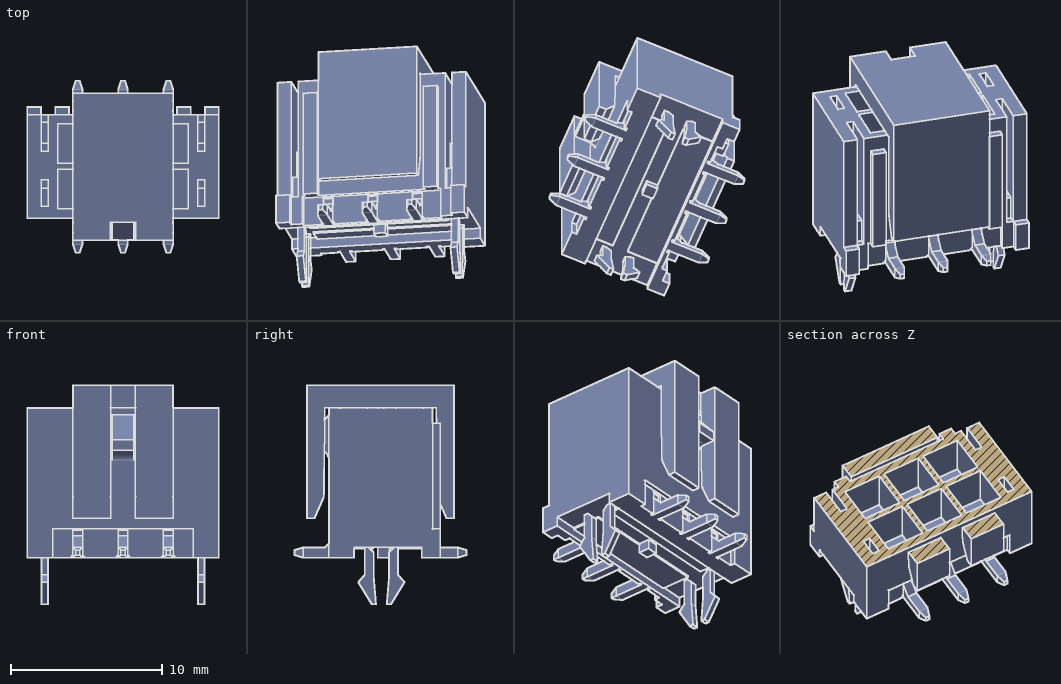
import cadquery as cq

total_height = 14.5
seat_z = 3.07
underside_z = 3.77
housing_top_z = 13.0
recess_top_z = 4.99

housing_width = 12.7
housing_front_y = -3.42
housing_back_y = 3.45
underside_front_y = -1.74
underside_back_y = 2.73
rib_back_y = 3.96

pitch = 3.0
contact_columns = (-pitch, 0, pitch)
contact_row_center_y = 0.03
cavity_size = 2.61
cavity_floor_z = 5.51

recess_width = 9.31
recess_wall_y = 3.07
bend_slot_depth = 0.15
bend_slot_top_z = 4.9
flare_height = 0.2
flare_side = 0.16

pin_width = 0.65
pin_end_y = 5.7
pin_taper_length = 0.58
pin_tip_width = 0.28
pin_tip_height = 0.33
pin_bend_y = 3.68
pin_root_y = 2.75

clip_thickness = 0.45
clip_x = 5.18
clip_y = 0.06
clip_root_z = 4.35

cap_width = 6.64
cap_half_depth = 4.87
cap_inner_half_depth = 3.68
cap_leg_bottom_z = 5.68
leg_taper_z = 7.1
leg_taper_y = 3.74
leg_tip_y = 4.36
cap_notch_width = 1.65

latch_width = 1.45
latch_front_y = -4.86
latch_top_z = 12.53
latch_edge_z = 10.89
latch_bottom_z = 10.21
latch_fillet = 0.65
latch_embed = 0.15


def block(x_range, y_range, z_range):
    """Axis-aligned box given by its limits."""
    x0, x1 = x_range
    y0, y1 = y_range
    z0, z1 = z_range
    return cq.Workplane("XY").box(x1 - x0, y1 - y0, z1 - z0, centered=False).translate((x0, y0, z0))


def side_prism(outline, width):
    """Prism along X, centred on X = 0, from an open outline on the YZ plane that is closed here."""
    return outline.close().extrude(width / 2, both=True)


def across(width, center=0):
    """Limits, along one axis, of a feature of the given width."""
    return (center - width / 2, center + width / 2)


def make_shell():
    """Housing block with its feet, keying ribs, underside channel and recesses."""
    foot_width = 0.93
    rib_inner_x = 3.57
    rib_outer_x = 4.5
    rib_top_z = 11.99

    shell = block(across(housing_width), (housing_front_y, housing_back_y), (seat_z, housing_top_z))
    for side in (-1, 1):
        foot_x = side * (housing_width - foot_width) / 2
        rib_x = side * (rib_inner_x + rib_outer_x) / 2
        foot = block(across(foot_width, foot_x), (housing_back_y, rib_back_y), (seat_z, recess_top_z))
        rib = block(
            across(rib_outer_x - rib_inner_x, rib_x), (housing_back_y, rib_back_y), (recess_top_z, rib_top_z)
        )
        shell = shell.union(foot).union(rib)

    channel = block(across(housing_width), (underside_front_y, underside_back_y), (seat_z, underside_z))
    front_recess = block(across(recess_width), (housing_front_y, -recess_wall_y), (seat_z, recess_top_z))
    back_recess = block(across(recess_width), (recess_wall_y, housing_back_y), (seat_z, recess_top_z))
    return shell.cut(channel).cut(front_recess).cut(back_recess)


def make_underside_pads():
    """Thin pads and the locating block inside the underside channel."""
    pad_height = 0.1
    gap_front_y = -0.46
    gap_back_y = 0.6
    locator_size = 0.78

    pad_z = (underside_z - pad_height, underside_z)
    pads = block(across(recess_width), (underside_front_y, gap_front_y), pad_z)
    pads = pads.union(block(across(recess_width), (gap_back_y, underside_back_y), pad_z))
    locator_y = (gap_back_y - locator_size, gap_back_y)
    return pads.union(block(across(locator_size), locator_y, (seat_z, underside_z)))


def make_cavities():
    """Square contact cavities, open at the top."""
    cavities = cq.Workplane("XY")
    for x in contact_columns:
        for side in (-1, 1):
            y = contact_row_center_y + side * pitch / 2
            cavities = cavities.union(
                block(across(cavity_size, x), across(cavity_size, y), (cavity_floor_z, housing_top_z))
            )
    return cavities


def make_clip_slots():
    """Stepped vertical slots above the clips; the back slots open through the back face."""
    shoulder_floor_z = 8.7
    slot_floor_z = 6.52
    steps = (
        ((-2.62, -1.42), slot_floor_z),
        ((-1.42, -0.87), shoulder_floor_z),
        ((1.03, 1.55), shoulder_floor_z),
        ((1.55, 2.95), slot_floor_z),
        ((2.95, housing_back_y), recess_top_z),
    )
    slots = cq.Workplane("XY")
    for x in (-clip_x, clip_x):
        for y_range, floor_z in steps:
            slots = slots.union(block(across(clip_thickness, x), y_range, (floor_z, housing_top_z)))
    return slots


def make_front_bend_slot():
    """Slot in the front recess wall for a pin bend, flared where it meets the seat plane."""
    half = pin_width / 2
    flared_half = half + flare_side
    return (
        cq.Workplane("XZ")
        .moveTo(-flared_half, seat_z)
        .lineTo(-half, seat_z + flare_height)
        .lineTo(-half, bend_slot_top_z)
        .lineTo(half, bend_slot_top_z)
        .lineTo(half, seat_z + flare_height)
        .lineTo(flared_half, seat_z)
        .close()
        .extrude(bend_slot_depth)
        .translate((0, -recess_wall_y + bend_slot_depth, 0))
    )


def make_front_pin():
    """Front pin tail: sloped bend, flat tail and a tapered tip."""
    pin_height = underside_z - seat_z
    taper_y = pin_end_y - pin_taper_length
    slot_floor_y = recess_wall_y - bend_slot_depth
    bend_top_z = underside_z + pin_bend_y - slot_floor_y

    tail = side_prism(
        cq.Workplane("YZ")
        .moveTo(-taper_y, seat_z)
        .lineTo(-taper_y, underside_z)
        .lineTo(-pin_bend_y, underside_z)
        .lineTo(-slot_floor_y, bend_top_z)
        .lineTo(-pin_root_y, bend_top_z)
        .lineTo(-pin_root_y, seat_z),
        pin_width,
    )
    tip = (
        cq.Workplane("XZ", origin=(0, -taper_y, seat_z + pin_height / 2))
        .rect(pin_width, pin_height)
        .workplane(offset=pin_taper_length)
        .rect(pin_tip_width, pin_tip_height)
        .loft(ruled=True)
    )
    return tail.union(tip)


def at_each_contact(front_feature):
    """Repeat a front feature over all columns, mirrored onto the back row."""
    pair = front_feature.union(front_feature.mirror("XZ"))
    features = cq.Workplane("XY")
    for x in contact_columns:
        features = features.union(pair.translate((x, 0, 0)))
    return features


def make_clips():
    """Pairs of barbed spring legs below the housing."""
    leg_outer = 1.12
    leg_inner = 0.5
    barb_outer = 1.54
    barb_top_z = 1.95
    barb_tip_z = 1.46
    tip_outer = 0.64
    tip_inner = 0.35
    tip_lean_z = 1.74
    relief_z = 3.42
    relief = underside_z - relief_z

    back_leg = side_prism(
        cq.Workplane("YZ")
        .moveTo(tip_inner, 0)
        .lineTo(tip_outer, 0)
        .lineTo(barb_outer, barb_tip_z)
        .lineTo(leg_outer, barb_top_z)
        .lineTo(leg_outer, clip_root_z)
        .lineTo(leg_inner + relief, clip_root_z)
        .lineTo(leg_inner + relief, underside_z)
        .lineTo(leg_inner, relief_z)
        .lineTo(leg_inner, tip_lean_z),
        clip_thickness,
    )
    legs = back_leg.union(back_leg.mirror("XZ")).translate((0, clip_y, 0))
    return legs.translate((-clip_x, 0, 0)).union(legs.translate((clip_x, 0, 0)))


def make_cap():
    """U-shaped pick-up cap with tapered legs and a front notch clearing the latch."""
    cap = side_prism(
        cq.Workplane("YZ")
        .moveTo(-cap_half_depth, total_height)
        .lineTo(cap_half_depth, total_height)
        .lineTo(cap_half_depth, cap_leg_bottom_z)
        .lineTo(leg_tip_y, cap_leg_bottom_z)
        .lineTo(leg_taper_y, leg_taper_z)
        .lineTo(cap_inner_half_depth, housing_top_z)
        .lineTo(-cap_inner_half_depth, housing_top_z)
        .lineTo(-leg_taper_y, leg_taper_z)
        .lineTo(-leg_tip_y, cap_leg_bottom_z)
        .lineTo(-cap_half_depth, cap_leg_bottom_z),
        cap_width,
    )
    notch = block(
        across(cap_notch_width), (-cap_half_depth, -cap_inner_half_depth), (cap_leg_bottom_z, total_height)
    )
    return cap.cut(notch)


def make_latch():
    """Wedge on the front face with a concave fillet below it."""
    fillet_start = (housing_front_y - latch_fillet, latch_bottom_z)
    fillet_end = (housing_front_y, latch_bottom_z - latch_fillet)
    embed_y = housing_front_y + latch_embed
    return side_prism(
        cq.Workplane("YZ")
        .moveTo(housing_front_y, latch_top_z)
        .lineTo(latch_front_y, latch_edge_z)
        .lineTo(latch_front_y, latch_bottom_z)
        .lineTo(*fillet_start)
        .radiusArc(fillet_end, latch_fillet)
        .lineTo(embed_y, latch_bottom_z - latch_fillet)
        .lineTo(embed_y, latch_top_z),
        latch_width,
    )


housing = make_shell().union(make_underside_pads())
housing = housing.cut(make_cavities()).cut(make_clip_slots())
housing = housing.cut(at_each_contact(make_front_bend_slot()))

result = housing.union(at_each_contact(make_front_pin()))
result = result.union(make_clips()).union(make_cap()).union(make_latch())